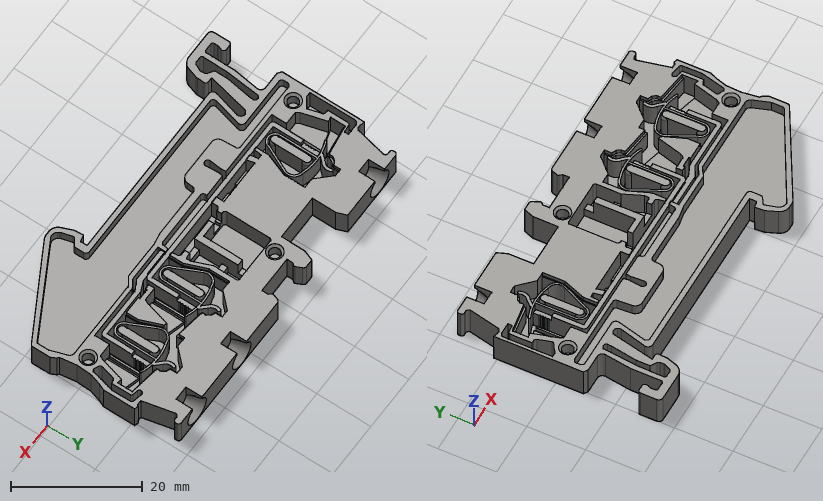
import cadquery as cq

LENGTH = 60.8
HEIGHT = 35.5
THICKNESS = 5.2
MID_X = LENGTH / 2

POCKET_FLOOR = 1.1
RAIL_PANEL_Z = 3.35
METAL_TOP = 4.9
TONGUE_TOP = 4.0
STEP_FLOOR = 1.8
LOW_RIB_Z = 2.7
FOOT_WEB_Z = 0.9

CLAMP_PITCH = 11.9

SPRING_LEG_X = 9.05
STRIP = 0.35
HOOK_STRIP = 0.55
BAR_BOTTOM = 16.55
BAR_TOP = 17.3
BAR_WIDTH = BAR_TOP - BAR_BOTTOM
BAR_BEND_RADIUS = 0.7
LEG_X = 7.65
LEG_SHOULDER_Y = 22.45
LEG_END_Y = 25.55
TRENCH_Y = 16.05
TRENCH_X = 7.0


def prism(points, z_low, z_high):
    """Straight-sided block between two heights."""
    return cq.Workplane("XY", origin=(0, 0, z_low)).polyline(points).close().extrude(z_high - z_low)


def slab(x_low, x_high, y_low, y_high, z_low, z_high):
    """Axis-aligned block given by its limits."""
    size = (x_high - x_low, y_high - y_low, z_high - z_low)
    return cq.Workplane("XY", origin=(x_low, y_low, z_low)).box(*size, centered=False)


def rounded_prism(corners, z_low, z_high):
    """Block whose corners are (x, y, radius); radius 0 leaves the corner sharp."""
    block = prism([(x, y) for x, y, _ in corners], z_low, z_high)
    for x, y, radius in corners:
        if radius > 0:
            near = 0.005
            picker = cq.selectors.BoxSelector(
                (x - near, y - near, z_low - near), (x + near, y + near, z_high + near), boundingbox=True
            )
            block = block.edges(picker).fillet(radius)
    return block


def at_clamps(first):
    """The first clamp's shape, and its mirror images at the two +X clamps."""
    last = first.mirror("YZ", (MID_X, 0, 0))
    return [first, last.translate((-CLAMP_PITCH, 0, 0)), last]


MARKER_SLOT_WIDTH = 2.55
MARKER_SLOT_END_Y = 32.5
MARKER_SLOTS_X = (6.25, 42.75, 54.55)
MARKER_FLARE_RADIUS = 2.45

OUTLINE = [
    (0, 28.35, 0), (0.85, 28.1, 0), (1.65, 28.1, 0.5), (3.05, 34.35, 0.5), (1.6, 34.35, 0.4),
    (1.6, HEIGHT, 0.5), (14.7, HEIGHT, 0), (15.4, 33.75, 0), (15.4, 29.4, 0), (23.5, 29.4, 0),
    (23.5, 33.75, 0), (24.2, HEIGHT, 0), (25.95, HEIGHT, 0.6), (26.7, 33.9, 0.3), (26.25, 33.45, 0),
    (26.25, 32.35, 0), (32.9, 32.35, 0), (32.9, 33.45, 0), (32.4, 34.05, 0.3), (32.9, HEIGHT, 0.6),
    (59.2, HEIGHT, 0.5), (59.2, 34.35, 0.4), (57.75, 34.35, 0.5), (59.1, 28.3, 0), (60.0, 28.3, 0),
    (60.1, 28.5, 0), (LENGTH, 28.35, 0), (LENGTH, 22.55, 0), (60.3, 21.45, 0), (59.7, 19.45, 0),
    (59.6, 16.8, 0), (60.0, 13.85, 0), (60.3, 13.6, 0), (LENGTH, 12.65, 0), (LENGTH, 9.2, 0.5),
    (44.15, 0, 1.8), (41.8, 0, 1.7), (40.6, 3.05, 0), (40.5, 4.7, 0), (41.65, 4.9, 0), (41.65, 6.15, 0),
    (8.5, 6.15, 0.8), (10.35, 12.75, 0.85), (8.75, 12.75, 0.7), (7.0, 4.9, 0), (8.3, 4.9, 0.5),
    (8.25, 3.05, 1.2), (7.3, 0, 1.8), (0.3, 0, 0.7), (0.3, 3.95, 0.5), (2.4, 3.95, 0.5), (1.9, 2.55, 0.5),
    (1.9, 1.45, 0.35), (3.9, 1.45, 0.35), (3.9, 7.05, 0), (4.7, 12.6, 0.85), (0.65, 12.6, 0), (0, 13.1, 0),
]

FOOT_MOUTH = (1.9, 3.9, 1.45, 3.95)
FOOT_SLOT = [
    (5.5, 12.7, 0.4), (6.5, 12.7, 0.4), (6.45, 11.55, 0), (5.7, 7.05, 0), (5.7, 4.6, 0),
    (6.95, 3.8, 0.5), (7.0, 2.8, 0.5), (6.3, 1.45, 0.35), (4.75, 1.45, 0.35), (4.8, 6.2, 0),
]


def marker_slot():
    """Slot whose conical floor widens toward the marker edge, centred on X = 0."""
    half = MARKER_SLOT_WIDTH / 2
    mid_z = THICKNESS / 2
    slot = slab(-half, half, MARKER_SLOT_END_Y, HEIGHT, mid_z, THICKNESS)
    flare = cq.Solid.makeCone(
        half,
        MARKER_FLARE_RADIUS,
        HEIGHT - MARKER_SLOT_END_Y,
        pnt=cq.Vector(0, MARKER_SLOT_END_Y, mid_z),
        dir=cq.Vector(0, 1, 0),
    )
    return slot.union(cq.Workplane(flare))


def housing_blank():
    body = rounded_prism(OUTLINE, 0, THICKNESS)
    body = body.cut(rounded_prism(FOOT_SLOT, 0, THICKNESS))
    body = body.union(slab(*FOOT_MOUTH, 0, FOOT_WEB_Z))
    slot = marker_slot()
    for x in MARKER_SLOTS_X:
        body = body.cut(slot.translate((x, 0, 0)))
    return body


RAIL_PANEL = [
    (1.1, 15.4, 0.6), (14.8, 15.4, 0.5), (15.0, 11.3, 1.2), (23.95, 11.3, 1.2), (24.2, 14.0, 0.6),
    (33.55, 14.0, 0), (35.7, 14.35, 0), (42.4, 14.35, 0), (43.9, 15.3, 0), (58.75, 15.3, 0.9),
    (59.9, 11.8, 0), (59.9, 9.6, 0.5), (42.9, 0.4, 1.1), (42.15, 1.5, 0.6), (41.5, 3.8, 0.35),
    (43.0, 4.6, 0.6), (43.0, 7.05, 0.6), (9.65, 7.05, 0.6), (11.4, 13.6, 0.7), (1.1, 13.6, 0.6),
]
SIDE_CHANNEL = [(24.15, BAR_BOTTOM, 0), (24.15, 15.2, 0.5), (34.9, 15.2, 0.35), (35.15, BAR_BOTTOM, 0)]


def cut_rail_panel(body):
    body = body.cut(rounded_prism(RAIL_PANEL, RAIL_PANEL_Z, THICKNESS))
    return body.cut(rounded_prism(SIDE_CHANNEL, RAIL_PANEL_Z, THICKNESS))


SOCKETS = [(3.15, 17.3), (26.25, 30.1), (57.5, 17.45)]
SOCKET_RADIUS = 1.0
SOCKET_LEAD_IN = 0.4
SOCKET_DEPTH = 2.45

LEFT_SIDE_SLOT = [
    (0.55, 18.6, 0), (0.55, 27.55, 0.6), (3.15, 27.55, 0), (3.15, 26.8, 0), (1.5, 26.6, 0.3), (1.5, 22.55, 0),
    (2.4, 22.55, 0.5), (3.15, 19.75, 0.3), (1.9, 19.0, 0), (1.45, 18.6, 0),
]
RIGHT_SIDE_SLOT = [
    (57.65, 27.85, 0.4), (60.1, 27.35, 0.35), (60.15, 23.7, 0), (59.0, 19.15, 0.35), (57.5, 19.75, 0.35),
    (58.3, 22.75, 0.5), (59.15, 22.9, 0), (59.15, 26.6, 0.3), (57.65, 26.95, 0.4),
]
KEYHOLE = [
    (19.0, TRENCH_Y, 0), (20.0, TRENCH_Y, 0), (19.9, 15.2, 0), (20.05, 12.4, 0.55), (18.85, 12.4, 0.55),
    (19.15, 15.2, 0),
]


def cut_small_openings(body):
    socket = cq.Workplane("XY", origin=(0, 0, THICKNESS - SOCKET_DEPTH)).circle(SOCKET_RADIUS)
    socket = socket.extrude(SOCKET_DEPTH)
    lead_in = cq.Solid.makeCone(
        SOCKET_RADIUS,
        SOCKET_RADIUS + SOCKET_LEAD_IN,
        SOCKET_LEAD_IN,
        pnt=cq.Vector(0, 0, THICKNESS - SOCKET_LEAD_IN),
    )
    socket = socket.union(cq.Workplane(lead_in))
    for x, y in SOCKETS:
        body = body.cut(socket.translate((x, y, 0)))
    for opening in (LEFT_SIDE_SLOT, RIGHT_SIDE_SLOT, KEYHOLE):
        body = body.cut(rounded_prism(opening, POCKET_FLOOR, THICKNESS))
    return body


LEDGE_Z = 4.5
UPPER_SPRING_POCKET = [
    (LEG_X, 27.1), (LEG_X, 27.85), (8.1, 28.45), (8.8, 28.75), (8.8, 30.05), (10.15, 30.05), (12.7, 27.4),
    (14.5, 27.4), (14.5, 23.6), (13.0, 19.8), (13.0, BAR_TOP), (LEG_X, BAR_TOP),
]
LOWER_SPRING_POCKET = [
    (LEG_X, 26.75), (8.0, 27.7), (8.4, 28.3), (9.05, 28.6), (9.05, 30.05), (10.15, 30.05), (12.7, 27.4),
    (14.3, 27.4), (14.3, 23.6), (12.8, 19.8), (12.8, BAR_TOP), (LEG_X, BAR_TOP),
]
ENTRY_END_X = 2.25
FUNNEL_TOP_Y = 24.7
FUNNEL_BASE_Y = 18.8
ENTRY_BASE = [(LEG_X, FUNNEL_TOP_Y), (6.25, FUNNEL_TOP_Y), (ENTRY_END_X, 23.6)]
UPPER_WIRE_ENTRY = [(ENTRY_END_X, 26.3), (LEG_X, 27.1), *ENTRY_BASE]
LOWER_WIRE_ENTRY = [(ENTRY_END_X, 26.0), (LEG_X, 26.75), *ENTRY_BASE]
SILL_END_X = 7.25
WIRE_FUNNEL = [
    (3.05, 23.85), (6.25, FUNNEL_TOP_Y), (SILL_END_X, FUNNEL_TOP_Y), (SILL_END_X, FUNNEL_BASE_Y),
    (4.6, FUNNEL_BASE_Y), (4.25, 19.4),
]
GUTTER_X = (6.25, 6.9)

POST_X = 10.2
POST_WIDTH = 1.35
POST_END_Y = (18.9, 24.85)
POST_FOOT_RADIUS = 0.85
POST_TAPER = 0.6


def clamp_cavity():
    cavity = prism(UPPER_SPRING_POCKET, LEDGE_Z, THICKNESS)
    cavity = cavity.union(prism(LOWER_SPRING_POCKET, POCKET_FLOOR, LEDGE_Z))
    cavity = cavity.union(prism(UPPER_WIRE_ENTRY, LEDGE_Z, THICKNESS))
    cavity = cavity.union(prism(LOWER_WIRE_ENTRY, POCKET_FLOOR, LEDGE_Z))
    cavity = cavity.union(slab(TRENCH_X, LEG_X, BAR_TOP, FUNNEL_BASE_Y, POCKET_FLOOR, THICKNESS))
    cavity = cavity.union(slab(SILL_END_X, LEG_X, FUNNEL_BASE_Y, FUNNEL_TOP_Y, POCKET_FLOOR, THICKNESS))
    cavity = cavity.union(prism(WIRE_FUNNEL, STEP_FLOOR, THICKNESS))
    shallow, deep = GUTTER_X
    gutter = [(shallow, STEP_FLOOR), (deep, STEP_FLOOR), (deep, POCKET_FLOOR)]
    gutter = cq.Workplane("XZ", origin=(0, FUNNEL_TOP_Y, 0)).polyline(gutter).close()
    return cavity.union(gutter.extrude(FUNNEL_TOP_Y - FUNNEL_BASE_Y))


def clamp_post():
    """Post inside the spring loop, with a tapered round boss at each end."""
    low, high = POST_END_Y
    half = POST_WIDTH / 2
    post = slab(POST_X - half, POST_X + half, low, high, POCKET_FLOOR, THICKNESS)
    boss = cq.Workplane("XY", origin=(POST_X, 0, POCKET_FLOOR)).circle(POST_FOOT_RADIUS)
    boss = boss.extrude(THICKNESS - POST_TAPER - POCKET_FLOOR)
    tip = cq.Solid.makeCone(
        POST_FOOT_RADIUS, half, POST_TAPER, pnt=cq.Vector(POST_X, 0, THICKNESS - POST_TAPER)
    )
    boss = boss.union(cq.Workplane(tip))
    for y in POST_END_Y:
        post = post.union(boss.translate((0, y, 0)))
    return post


CENTRE_LEFT_X = 24.75
CENTRE_RIGHT_X = 33.55
CENTRE_TOP_Y = 28.45
WALL_TOP_Y = 19.7
SLOT_TOP_Y = 18.8
CENTRE_POCKET = [
    (CENTRE_LEFT_X, CENTRE_TOP_Y, 0.35), (CENTRE_RIGHT_X, CENTRE_TOP_Y, 0.35), (CENTRE_RIGHT_X, 23.9, 0),
    (34.9, 20.6, 0), (34.9, WALL_TOP_Y, 0.3), (CENTRE_LEFT_X, WALL_TOP_Y, 0.5),
]
CENTRE_SLOT = [
    (CENTRE_LEFT_X, BAR_TOP, 0), (CENTRE_LEFT_X, SLOT_TOP_Y, 0.5), (35.15, SLOT_TOP_Y, 0.5),
    (35.3, BAR_TOP, 0),
]
DIVIDER_X = (30.2, 31.4)
DIVIDER_END_Y = 26.9
OPENINGS_X = [(25.5, 27.55), (31.4, 33.85)]
DEEP_OPENING_X = (25.9, 27.55)
LOW_RIB_Y = (23.9, 25.0)
LATCH_SLOTS = [
    [(13.5, BAR_TOP), (13.7, SLOT_TOP_Y), (14.4, SLOT_TOP_Y), (14.65, BAR_TOP)],
    [(15.7, BAR_TOP), (15.3, SLOT_TOP_Y), (23.5, SLOT_TOP_Y), (23.5, BAR_TOP)],
]
LATCH_STEP = [(18.5, BAR_TOP), (18.65, SLOT_TOP_Y), (20.35, SLOT_TOP_Y), (20.35, BAR_TOP)]


def cut_centre(body):
    cavity = rounded_prism(CENTRE_POCKET, POCKET_FLOOR, THICKNESS)
    left, right = DIVIDER_X
    cavity = cavity.cut(slab(left, right, WALL_TOP_Y, DIVIDER_END_Y, POCKET_FLOOR, THICKNESS))
    cavity = cavity.cut(slab(left, right, DIVIDER_END_Y, CENTRE_TOP_Y, POCKET_FLOOR, LOW_RIB_Z))
    cavity = cavity.cut(slab(right, CENTRE_RIGHT_X, *LOW_RIB_Y, POCKET_FLOOR, LOW_RIB_Z))
    cavity = cavity.union(rounded_prism(CENTRE_SLOT, POCKET_FLOOR, THICKNESS))
    for x_low, x_high in OPENINGS_X:
        cavity = cavity.union(slab(x_low, x_high, SLOT_TOP_Y, WALL_TOP_Y, LOW_RIB_Z, THICKNESS))
    cavity = cavity.union(slab(*DEEP_OPENING_X, SLOT_TOP_Y, WALL_TOP_Y, STEP_FLOOR, THICKNESS))
    for slot in LATCH_SLOTS:
        cavity = cavity.union(prism(slot, STEP_FLOOR, THICKNESS))
    cavity = cavity.union(prism(LATCH_STEP, POCKET_FLOOR, THICKNESS))
    return body.cut(cavity)


LINK_X = 35.75
LINK_TOP = 16.35
LINK_JOINT_X = 40.25
LINK_STEP_X = (41.65, 43.5)
LINK_SLANT_SHIFT = 0.35
LAST_TRENCH_X = LENGTH - TRENCH_X
TRENCH = [
    (TRENCH_X, BAR_TOP), (TRENCH_X, TRENCH_Y), (24.15, TRENCH_Y), (24.15, BAR_BOTTOM),
    (LINK_X, BAR_BOTTOM), (LINK_X, 15.15), (42.45, 15.15), (43.9, TRENCH_Y), (LAST_TRENCH_X, TRENCH_Y),
    (LAST_TRENCH_X, BAR_TOP),
]
BEND_RELIEF = [(41.05, BAR_TOP), (41.9, 17.7), (48.0, 17.7), (48.0, BAR_TOP)]
BEND_RELIEF_NOTCH = (42.75, 44.6, 17.7, 18.0)


def cut_trench(body):
    body = body.cut(prism(TRENCH, POCKET_FLOOR, THICKNESS))
    body = body.cut(prism(BEND_RELIEF, POCKET_FLOOR, THICKNESS))
    return body.cut(slab(*BEND_RELIEF_NOTCH, POCKET_FLOOR, THICKNESS))


def make_housing():
    body = cut_rail_panel(housing_blank())
    for cavity in at_clamps(clamp_cavity()):
        body = body.cut(cavity)
    body = cut_small_openings(cut_trench(cut_centre(body)))
    for post in at_clamps(clamp_post()):
        body = body.union(post)
    return body


LOOP_TAIL = (5.95, 25.3)
LOOP_CROWN = [(9.1, 26.0), (12.45, 25.55)]
LOOP_SHOULDER = [(13.8, 24.55), (13.8, 23.2)]
LOOP_FLANK_END = (11.7, 18.85)
LOOP_BASE = [(10.2, 17.75), (SPRING_LEG_X, 18.85)]
LEG_START_Y = 20.05
LEG_CROWN_Y = 26.0
HOOK_TIP = (9.6, 28.9)
HOOK_CURVE = [(9.65, 27.9), (9.1, 27.1)]
HOOK_ROOT = (8.2, 26.15)


def make_spring():
    """Strip bent into a drop-shaped loop, with a hook at the top of its straight leg."""
    height = METAL_TOP - POCKET_FLOOR
    floor = cq.Workplane("XY", origin=(0, 0, POCKET_FLOOR))
    loop = floor.moveTo(*LOOP_TAIL).threePointArc(*LOOP_CROWN).threePointArc(*LOOP_SHOULDER)
    loop = loop.lineTo(*LOOP_FLANK_END).threePointArc(*LOOP_BASE).lineTo(SPRING_LEG_X, LEG_START_Y)
    loop = loop.offset2D(STRIP / 2).extrude(height)
    half = STRIP / 2
    leg = slab(SPRING_LEG_X - half, SPRING_LEG_X + half, LEG_START_Y, LEG_CROWN_Y, POCKET_FLOOR, METAL_TOP)
    hook = floor.moveTo(*HOOK_TIP).threePointArc(*HOOK_CURVE).lineTo(*HOOK_ROOT)
    hook = hook.offset2D(HOOK_STRIP / 2).extrude(height)
    return loop.union(leg).union(hook)


TOOTH_RADIUS = 0.1
TEETH_Y = (23.0, 23.45, 23.95, 24.45)


def bar_leg():
    inner_x = LEG_X + BAR_WIDTH
    leg = slab(LEG_X, inner_x, BAR_BOTTOM, LEG_SHOULDER_Y, POCKET_FLOOR, METAL_TOP)
    leg = leg.edges("|Z and <X and <Y").fillet(BAR_BEND_RADIUS)
    leg = leg.union(slab(LEG_X, inner_x, LEG_SHOULDER_Y, LEG_END_Y, POCKET_FLOOR, TONGUE_TOP))
    groove = cq.Workplane("XY", origin=(LEG_X, 0, POCKET_FLOOR)).circle(TOOTH_RADIUS)
    groove = groove.extrude(TONGUE_TOP - POCKET_FLOOR)
    for y in TEETH_Y:
        leg = leg.cut(groove.translate((0, y, 0)))
    return leg


def make_bar():
    first, middle, last = at_clamps(bar_leg())
    middle_leg_x = LENGTH - CLAMP_PITCH - LEG_X - BAR_WIDTH
    start = LEG_X + BAR_WIDTH
    main = slab(start, middle_leg_x, BAR_BOTTOM, BAR_TOP, POCKET_FLOOR, METAL_TOP)
    low, high = LINK_STEP_X
    link_bottom = LINK_TOP - BAR_WIDTH
    end = LENGTH - LEG_X - BAR_WIDTH
    link = [
        (LINK_X, link_bottom), (low + LINK_SLANT_SHIFT, link_bottom),
        (high + LINK_SLANT_SHIFT, BAR_BOTTOM), (end, BAR_BOTTOM), (end, BAR_TOP), (high, BAR_TOP),
        (low, BAR_BOTTOM), (LINK_JOINT_X, BAR_BOTTOM), (LINK_JOINT_X, LINK_TOP), (LINK_X, LINK_TOP),
    ]
    link = prism(link, POCKET_FLOOR, METAL_TOP)
    return first.union(main).union(middle).union(link).union(last)


housing = make_housing()
springs = at_clamps(make_spring())
bar = make_bar()

result = cq.Compound.makeCompound([housing.val(), *[spring.val() for spring in springs], bar.val()])